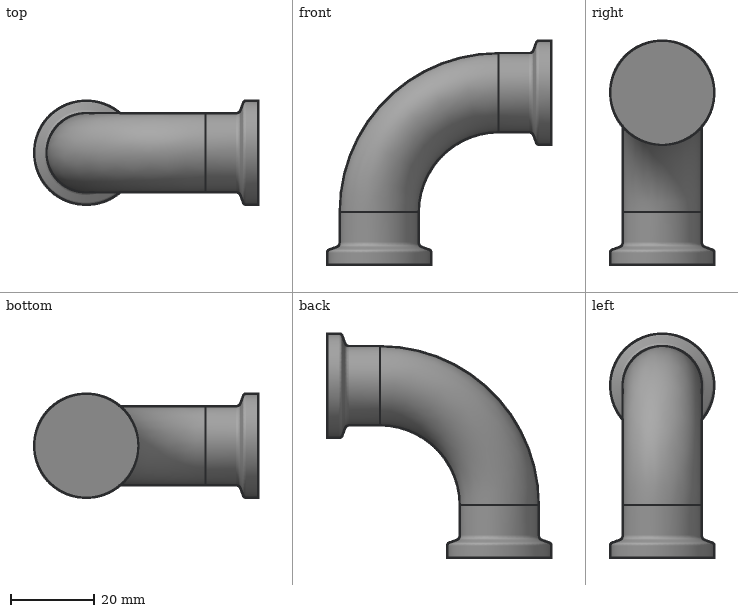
import cadquery as cq
import math

overall_size = 53.8
tube_diameter = 19.05
flange_diameter = 25.0
bend_radius = 28.55
rim_corner_height = 3.5
cone_angle = 20.0
neck_fillet = 1.0
rim_fillet = 0.8

tube_radius = tube_diameter / 2
flange_radius = flange_diameter / 2
leg_length = overall_size - flange_radius
ferrule_length = leg_length - bend_radius
cone_rise = (flange_radius - tube_radius) * math.tan(math.radians(cone_angle))
neck_height = rim_corner_height + cone_rise


def make_elbow():
    """Quarter bend that starts vertical on the Z axis and ends along +X."""
    return (
        cq.Workplane("XY")
        .circle(tube_radius)
        .revolve(90, (bend_radius, 0, 0), (bend_radius, 1, 0))
    )


def at_height(height):
    """Selector for the circular edges lying at the given height."""
    reach = 2 * flange_radius
    margin = 0.05
    return cq.selectors.BoxSelector(
        (-reach, -reach, height - margin), (reach, reach, height + margin), boundingbox=True
    )


def make_ferrule():
    """Solid clamp ferrule on the Z axis, flange face at Z = 0, tube end upward."""
    blank = (
        cq.Workplane("XZ")
        .moveTo(0, 0)
        .lineTo(flange_radius, 0)
        .lineTo(flange_radius, rim_corner_height)
        .lineTo(tube_radius, neck_height)
        .lineTo(tube_radius, ferrule_length)
        .lineTo(0, ferrule_length)
        .close()
        .revolve(360, (0, 0, 0), (0, 1, 0))
    )
    rounded = blank.edges(at_height(rim_corner_height)).fillet(rim_fillet)
    return rounded.edges(at_height(neck_height)).fillet(neck_fillet)


elbow = make_elbow().translate((0, 0, ferrule_length))

ferrule_places = [
    (0, (0, 0, 0)),
    (-90, (leg_length, 0, leg_length)),
]
ferrules = [
    make_ferrule().rotate((0, 0, 0), (0, 1, 0), angle).translate(place)
    for angle, place in ferrule_places
]

result = cq.Compound.makeCompound([elbow.val(), *[ferrule.val() for ferrule in ferrules]])